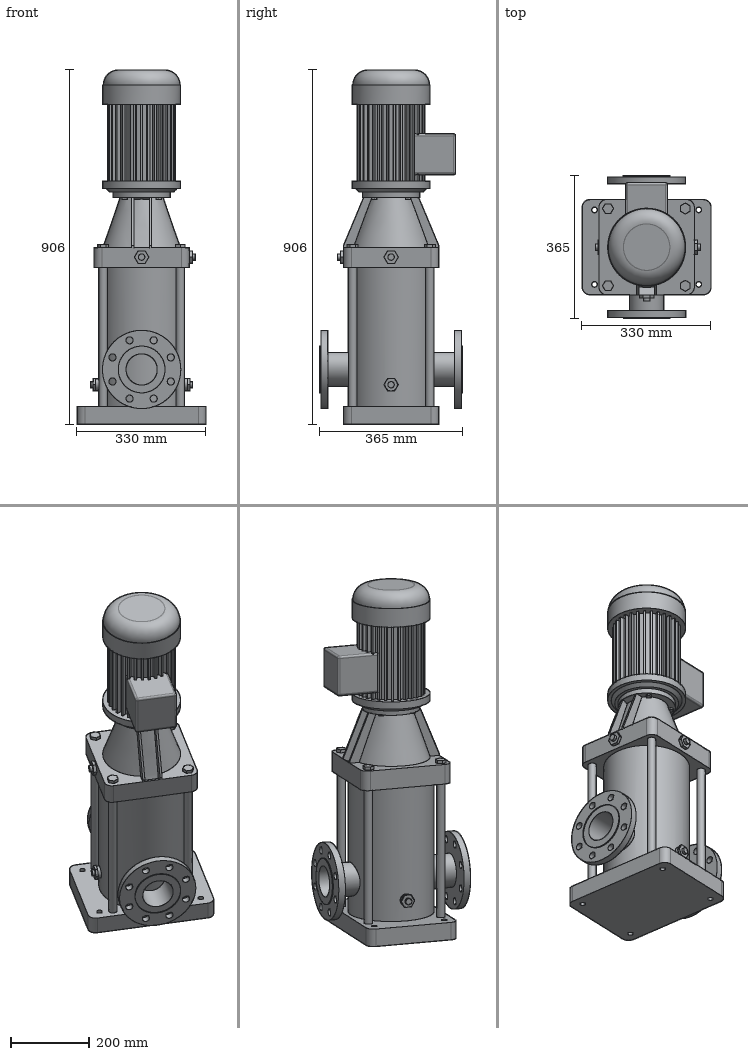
import cadquery as cq
import math


base_top = 46.0
head_bottom = 400.0
head_top = 452.0
lantern_top = 580.0
spigot_top = 593.0
motor_flange_bottom = 602.5
motor_flange_top = 621.5
cowl_bottom = 818.0
cowl_shoulder = 867.0
total_height = 906.0

base_width = 330.0
plate_depth = 244.0
plate_corner_radius = 20.0
base_hole_diameter = 14.0
base_hole_x = 133.0
base_hole_y = 95.0

casing_diameter = 220.0
rod_diameter = 22.0
rod_offset = 99.0
bolt_corner_width = 28.0
bolt_head_height = 8.0

nozzle_axis_z = 140.0
overall_depth = 365.0
nozzle_reach = overall_depth / 2
pipe_diameter = 88.0
bore_diameter = 80.0
flange_diameter = 200.0
flange_thickness = 18.0
raised_face_diameter = 120.0
raised_face_height = 3.0
flange_hole_diameter = 18.0
flange_hole_circle = 161.0
flange_hole_count = 8

plug_flat_width = 32.0
plug_corner_width = plug_flat_width / math.cos(math.radians(30))
plug_hex_length = 8.0
plug_tip_diameter = 16.0
plug_tip_length = 7.0
head_plug_z = 428.0
casing_plug_z = 101.5
collar_end = 118.0
casing_plug_hex_length = 6.0
casing_plug_tip_length = 6.0

lantern_bottom_radius = 100.0
lantern_top_radius = 55.0
rib_thickness = 5.0
rib_offset = 23.0
rib_top_reach = 71.0
rib_foot_height = 5.0
rib_gap = 2 * rib_offset - rib_thickness
pocket_depth = 14.0
pocket_inner_reach = 95.0
lip_height = 4.5
lip_inner_reach = 56.0
lantern_bolt_diameter = 14.0
lantern_bolt_offset = 43.5
lantern_bolt_height = 4.5

spigot_diameter = 147.0
taper_small_radius = 81.5
taper_large_radius = 91.0
motor_diameter = 199.0
motor_core_radius = 75.0
fin_tip_radius = 87.0
fin_thickness = 5.0
fin_count = 30
dome_diameter = 197.0

box_width = 108.0
box_bottom = 638.0
box_top = 743.0
box_inner_y = 36.0
box_outer_y = 165.0
box_edge_radius = 5.0


def upright_cylinder(diameter, bottom, top):
    return cq.Workplane("XY").workplane(offset=bottom).circle(diameter / 2).extrude(top - bottom)


def upright_cone(bottom_radius, top_radius, bottom, top):
    outline = [(0, bottom), (bottom_radius, bottom), (top_radius, top), (0, top)]
    return cq.Workplane("XZ").polyline(outline).close().revolve(360, (0, 0), (0, 1))


def plate(width, bottom, top):
    blank = cq.Workplane("XY").workplane(offset=bottom).rect(width, plate_depth).extrude(top - bottom)
    return blank.edges("|Z").fillet(plate_corner_radius)


def base_plate():
    holes = (
        cq.Workplane("XY")
        .rect(2 * base_hole_x, 2 * base_hole_y, forConstruction=True)
        .vertices()
        .circle(base_hole_diameter / 2)
        .extrude(base_top)
    )
    return plate(base_width, 0, base_top).cut(holes)


def tie_rods():
    return (
        cq.Workplane("XY")
        .workplane(offset=base_top)
        .rect(2 * rod_offset, 2 * rod_offset, forConstruction=True)
        .vertices()
        .circle(rod_diameter / 2)
        .extrude(head_bottom - base_top)
    )


def head_bolts():
    """Hexagon heads: points along X on the -X side, along Y on the +X side."""
    bolts = cq.Workplane("XY")
    for side, turn in ((-1, 0), (1, 30)):
        head = (
            cq.Workplane("XY")
            .workplane(offset=head_top)
            .polygon(6, bolt_corner_width)
            .extrude(bolt_head_height)
            .rotate((0, 0, 0), (0, 0, 1), turn)
        )
        for end in (-1, 1):
            bolts = bolts.add(head.translate((side * rod_offset, end * rod_offset, 0)))
    return bolts.combine()


def nozzle():
    """Flanged pipe on the -Y side, bored down to the casing wall."""
    face_y = nozzle_reach - raised_face_height
    plane = cq.Workplane("XZ", origin=(0, 0, nozzle_axis_z))
    pipe = plane.circle(pipe_diameter / 2).extrude(nozzle_reach)
    raised_face = plane.workplane(offset=face_y).circle(raised_face_diameter / 2).extrude(raised_face_height)
    flange_back = plane.workplane(offset=face_y - flange_thickness)
    flange = flange_back.circle(flange_diameter / 2).extrude(flange_thickness)
    half_pitch = 180 / flange_hole_count
    holes = (
        flange_back
        .polarArray(flange_hole_circle / 2, half_pitch, 360, flange_hole_count)
        .circle(flange_hole_diameter / 2)
        .extrude(flange_thickness)
    )
    bore = plane.circle(bore_diameter / 2).extrude(nozzle_reach)
    return pipe.union(flange).union(raised_face).cut(holes).cut(bore)


def plug(seat, z, hex_length, tip_length):
    """Hexagon plug with a round tip, pointing along +X from x = seat."""
    plane = cq.Workplane("YZ", origin=(seat, 0, z))
    head = plane.polygon(6, plug_corner_width).extrude(hex_length)
    tip = plane.circle(plug_tip_diameter / 2).extrude(hex_length + tip_length)
    return head.union(tip)


def casing_plug():
    collar = cq.Workplane("YZ", origin=(0, 0, casing_plug_z)).circle(plug_flat_width / 2).extrude(collar_end)
    return collar.union(plug(collar_end, casing_plug_z, casing_plug_hex_length, casing_plug_tip_length))


def turned(body, angle):
    """Copy of a body turned about the shaft axis, in degrees."""
    return body.rotate((0, 0, 0), (0, 0, 1), angle)


def rib_gap_wedge(outline):
    """Prism filling the gap between the ribs, mirrored to both Y sides."""
    wedge = cq.Workplane("YZ").polyline(outline).close().extrude(rib_gap / 2, both=True)
    return wedge.union(turned(wedge, 180))


def head_pockets():
    """Floors sloping from the plate edge down to the foot of the lantern cone."""
    return rib_gap_wedge([
        (plate_depth / 2, head_top),
        (pocket_inner_reach, head_top - pocket_depth),
        (pocket_inner_reach, head_top),
    ])


def lantern_lips():
    """Sloping undersides below the spigot, reaching in to the lantern cone."""
    return rib_gap_wedge([
        (rib_top_reach, lantern_top),
        (lip_inner_reach, lantern_top - lip_height),
        (0, lantern_top - lip_height),
        (0, lantern_top),
    ])


def lantern():
    flare = (lantern_bottom_radius - lantern_top_radius) / (lantern_top - head_top)
    foot_radius = lantern_bottom_radius + flare * pocket_depth
    body = upright_cone(foot_radius, lantern_top_radius, head_top - pocket_depth, lantern_top)
    foot = plate_depth / 2
    foot_top = head_top + rib_foot_height
    web = [
        (-foot, head_top),
        (foot, head_top),
        (foot, foot_top),
        (rib_top_reach, lantern_top),
        (-rib_top_reach, lantern_top),
        (-foot, foot_top),
    ]
    for x in (-rib_offset, rib_offset):
        rib = cq.Workplane("YZ", origin=(x, 0, 0)).polyline(web).close().extrude(rib_thickness / 2, both=True)
        body = body.union(rib)
    bolts = (
        cq.Workplane("XY")
        .workplane(offset=lantern_top - lantern_bolt_height)
        .rect(2 * lantern_bolt_offset, 2 * lantern_bolt_offset, forConstruction=True)
        .vertices()
        .circle(lantern_bolt_diameter / 2)
        .extrude(lantern_bolt_height)
    )
    return body.union(bolts).union(lantern_lips())


def motor_fins():
    fin = (
        cq.Workplane("XY")
        .workplane(offset=motor_flange_top)
        .center(0, -fin_tip_radius / 2)
        .rect(fin_thickness, fin_tip_radius)
        .extrude(cowl_bottom - motor_flange_top)
    )
    fins = upright_cylinder(2 * motor_core_radius, motor_flange_top, cowl_bottom)
    for index in range(fin_count):
        fins = fins.union(turned(fin, index * 360 / fin_count))
    return fins


def motor():
    spigot = upright_cylinder(spigot_diameter, lantern_top, spigot_top)
    taper = upright_cone(taper_small_radius, taper_large_radius, spigot_top, motor_flange_bottom)
    flange = upright_cylinder(motor_diameter, motor_flange_bottom, motor_flange_top)
    cowl = upright_cylinder(motor_diameter, cowl_bottom, cowl_shoulder)
    dome = upright_cylinder(dome_diameter, cowl_bottom, total_height)
    dome = dome.faces(">Z").edges().fillet(total_height - cowl_shoulder)
    return spigot.union(taper).union(flange).union(motor_fins()).union(cowl).union(dome)


def terminal_box():
    length = box_outer_y - box_inner_y
    height = box_top - box_bottom
    box = cq.Workplane("XY").box(box_width, length, height, centered=(True, False, False))
    box = box.edges("|Y").fillet(box_edge_radius).faces(">Y").edges().fillet(box_edge_radius)
    return box.translate((0, box_inner_y, box_bottom))


head_plug = plug(plate_depth / 2, head_plug_z, plug_hex_length, plug_tip_length)

result = nozzle().union(turned(nozzle(), 180))
result = result.union(upright_cylinder(casing_diameter, base_top, head_bottom))
result = result.union(base_plate()).union(tie_rods())
head_plate = plate(plate_depth, head_bottom, head_top).cut(head_pockets())
result = result.union(head_plate).union(head_bolts())
result = result.union(head_plug).union(turned(head_plug, -90))
result = result.union(casing_plug()).union(turned(casing_plug(), 180))
result = result.union(lantern()).union(motor()).union(terminal_box())